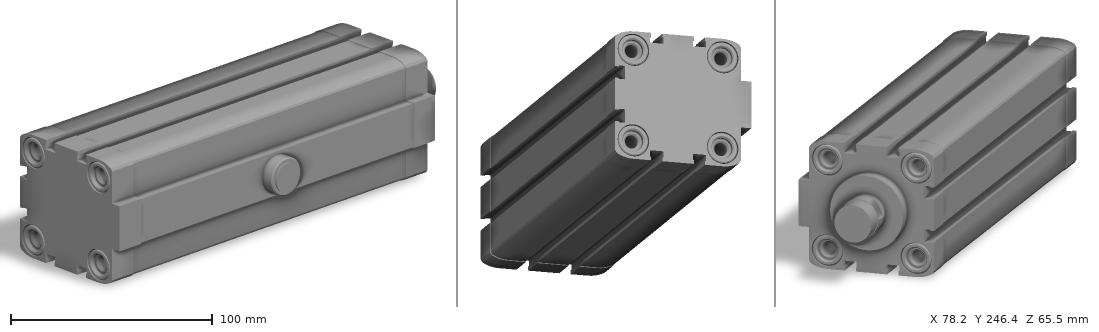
import cadquery as cq

total_length = 246.4
total_width = 78.2

body_length = 218.0
body_width = 65.5
cap_length = 15.0
tube_inset = 0.4
corner_bevel_x = 0.9
corner_bevel_z = 1.5
corner_drop = 3.75

rail_height = 5.4
rail_width = 24.0

slot_offset = 11.15
slot_opening = 5.9
slot_inner_width = 6.9
slot_lip = 2.0
slot_depth = 5.1

hole_pitch = 46.5
hole_diameter = 6.65
head_seat_diameter = 16.4
head_diameter = 15.5
head_chamfer = 0.5
head_height = 3.0
socket_mouth_diameter = 12.0
socket_diameter = 10.6
socket_depth = 2.5
hole_mouth_diameter = 8.38

collar_diameter = 38.2
collar_length = 7.4
rod_diameter = 20.0
rod_tip_diameter = 19.2
rod_tip_length = 10.0
flat_across = 17.0
flat_length = 6.4
flat_start = 1.6
flat_tilt = 32.0

plug_diameter = 20.0
plug_tip_diameter = 15.5
plug_tip_length = 0.75
plug_chamfer = 0.6
plug_y = 109.0

half_width = body_width / 2
hole_offset = hole_pitch / 2
rail_face_x = half_width + rail_height
collar_face_y = body_length + collar_length


def along_y(start_y):
    """Plane with local x = X and local y = Z; negative extrusions run toward +Y."""
    return cq.Workplane(cq.Plane((0, start_y, 0), xDir=(1, 0, 0), normal=(0, -1, 0)))


def body_block(start_y, end_y, inset):
    """Length of square section whose faces lie `inset` inside the full section."""
    length = end_y - start_y
    side = half_width - inset
    side_end = half_width - corner_drop
    arc_x = half_width - corner_bevel_x
    arc_z = side_end + corner_bevel_z - inset
    arc_run = arc_x - hole_offset
    arc_drop = side - arc_z
    arc_radius = (arc_run ** 2 + arc_drop ** 2) / (2 * arc_drop)
    outline = (
        along_y(start_y)
        .moveTo(-hole_offset, side)
        .lineTo(hole_offset, side)
        .radiusArc((arc_x, arc_z), arc_radius)
        .lineTo(side, side_end)
        .lineTo(side, -side_end)
        .lineTo(arc_x, -arc_z)
        .radiusArc((hole_offset, -side), arc_radius)
        .lineTo(-hole_offset, -side)
        .radiusArc((-arc_x, -arc_z), arc_radius)
        .lineTo(-side, -side_end)
        .lineTo(-side, side_end)
        .lineTo(-arc_x, arc_z)
        .radiusArc((-hole_offset, side), arc_radius)
        .close()
    )
    block = outline.extrude(-length)
    rail_reach = rail_face_x - inset
    rail = (
        along_y(start_y)
        .center(rail_reach / 2, 0)
        .rect(rail_reach, rail_width - 2 * inset)
        .extrude(-length)
    )
    return block.union(rail)


def top_slot(offset):
    """T-slot cutter running the whole body length, open to the top."""
    opening = (
        along_y(0).center(offset, half_width - slot_depth / 2)
        .rect(slot_opening, slot_depth).extrude(-body_length)
    )
    inner_height = slot_depth - slot_lip
    inner = (
        along_y(0).center(offset, half_width - slot_lip - inner_height / 2)
        .rect(slot_inner_width, inner_height).extrude(-body_length)
    )
    return opening.union(inner)


def fixing_hole_end():
    """Two cutters for the front end of a hole: the gap around the screw head and its socket."""
    socket_slope = (socket_mouth_diameter - socket_diameter) / 2
    hole_slope = (hole_mouth_diameter - hole_diameter) / 2
    head_radius = head_diameter / 2
    gap = (
        cq.Workplane("XY")
        .polyline([
            (head_radius - head_chamfer, 0),
            (head_seat_diameter / 2, 0),
            (head_seat_diameter / 2, head_height),
            (head_radius, head_height),
            (head_radius, head_chamfer),
        ])
        .close()
        .revolve(360, (0, 0, 0), (0, 1, 0))
    )
    socket = (
        cq.Workplane("XY")
        .polyline([
            (0, 0),
            (socket_mouth_diameter / 2, 0),
            (socket_diameter / 2, socket_slope),
            (socket_diameter / 2, socket_depth),
            (hole_mouth_diameter / 2, socket_depth),
            (hole_diameter / 2, socket_depth + hole_slope),
            (0, socket_depth + hole_slope),
        ])
        .close()
        .revolve(360, (0, 0, 0), (0, 1, 0))
    )
    return gap.val(), socket.val()


def cut_fixing_hole(housing, x, z):
    """Cut a through bore with the same screw head form at both ends."""
    bore = along_y(0).center(x, z).circle(hole_diameter / 2).extrude(-body_length)
    housing = housing.cut(bore)
    mid_length = (0, body_length / 2, 0)
    for cutter in fixing_hole_end():
        front_cutter = cq.Workplane(cutter)
        back_cutter = front_cutter.mirror("XZ", mid_length)
        housing = housing.cut(front_cutter.translate((x, 0, z)))
        housing = housing.cut(back_cutter.translate((x, 0, z)))
    return housing


def make_housing():
    """Capped square body with collar, T-slots and fixing holes, all one solid."""
    tube_end = body_length - cap_length
    housing = body_block(0, cap_length, 0)
    housing = housing.union(body_block(cap_length, tube_end, tube_inset))
    housing = housing.union(body_block(tube_end, body_length, 0))
    collar = along_y(body_length).circle(collar_diameter / 2).extrude(-collar_length)
    housing = housing.union(collar)
    for side_angle in (0, 180, -90):
        for offset in (-slot_offset, slot_offset):
            slot = top_slot(offset).rotate((0, 0, 0), (0, 1, 0), side_angle)
            housing = housing.cut(slot)
    for x in (-hole_offset, hole_offset):
        for z in (-hole_offset, hole_offset):
            housing = cut_fixing_hole(housing, x, z)
    return housing


def make_rod():
    """Rod with two wrench flats that run out in 45 degree slopes."""
    tip_start_y = total_length - rod_tip_length
    rod = along_y(collar_face_y).circle(rod_diameter / 2).extrude(collar_face_y - tip_start_y)
    tip = along_y(tip_start_y).circle(rod_tip_diameter / 2).extrude(-rod_tip_length)
    rod = rod.union(tip)
    flat_x = flat_across / 2
    slope = rod_diameter / 2 - flat_x
    slope_start_y = collar_face_y + flat_start
    flat_start_y = slope_start_y + slope
    flat_end_y = flat_start_y + flat_length
    cutter = (
        cq.Workplane("XY")
        .polyline([
            (-flat_x - slope, slope_start_y),
            (-flat_x, flat_start_y),
            (-flat_x, flat_end_y),
            (-flat_x - slope, flat_end_y + slope),
        ])
        .close()
        .extrude(rod_diameter / 2, both=True)
    )
    for angle in (flat_tilt, flat_tilt + 180):
        rod = rod.cut(cutter.rotate((0, 0, 0), (0, 1, 0), angle))
    return rod


def make_plug():
    """Round plug standing on the tube part of the rail."""
    seat_x = rail_face_x - tube_inset
    length = total_width - half_width - seat_x - plug_tip_length
    face = cq.Workplane(cq.Plane((seat_x, plug_y, 0), xDir=(0, 1, 0), normal=(1, 0, 0)))
    plug = face.circle(plug_diameter / 2).extrude(length).faces(">X").chamfer(plug_chamfer)
    tip = face.workplane(offset=length).circle(plug_tip_diameter / 2).extrude(plug_tip_length)
    return plug.union(tip)


housing = make_housing()
rod = make_rod()
plug = make_plug()
bodies = (housing, rod, plug)
result = cq.Compound.makeCompound([body.solids().val() for body in bodies])